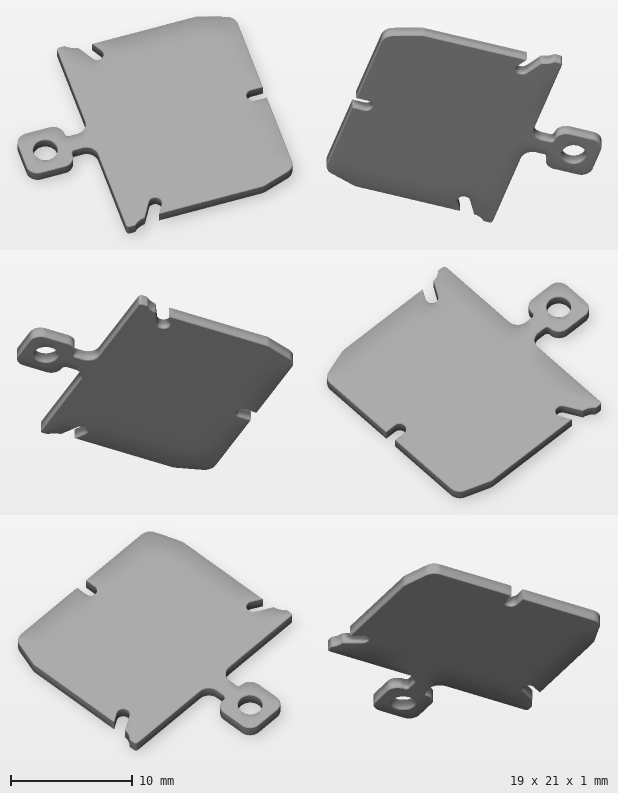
import cadquery as cq

thickness = 1.0
total_length = 21.0
edge_chamfer = 0.05
body_width = 18.0
body_length = 15.0
foot_width = 19.0

corner_radius = 1.0

shoulder_inset = 1.0
shoulder_drop = 3.0

foot_height = 0.71
flare_height = 1.75
flare_radius = 1.5
foot_corner_radius = 0.25

neck_width = 1.51
neck_fillet = 0.32
tab_width = 4.18
tab_length = 4.0
tab_corner_radius = 0.97
hole_diameter = 2.02
hole_edge_distance = 2.0

notch_width = 1.07
top_notch_depth = 1.55
side_notch_angle = 30.0
side_notch_x = 7.85
side_notch_drop = 12.01
side_notch_reach = 3.15

top_y = total_length / 2
bottom_y = -total_length / 2
body_bottom_y = top_y - body_length
tab_top_y = bottom_y + tab_length


def fillet_vertical_edges(solid, points, radius):
    """Round the upright edges standing at the given points, on both sides of X = 0."""
    for x, y in points:
        for side in (-1, 1):
            nearest = cq.selectors.NearestToPointSelector((side * x, y, thickness / 2))
            solid = solid.edges("|Z").edges(nearest).fillet(radius)
    return solid


def make_body():
    """Plate with slanted shoulders and concave flares leading to the feet."""
    half_body = body_width / 2
    half_foot = foot_width / 2
    half_top = half_body - shoulder_inset
    shoulder_y = top_y - shoulder_drop
    flare_y = body_bottom_y + flare_height
    foot_y = body_bottom_y + foot_height
    return (
        cq.Workplane("XY")
        .moveTo(-half_top, top_y)
        .lineTo(half_top, top_y)
        .lineTo(half_body, shoulder_y)
        .lineTo(half_body, flare_y)
        .radiusArc((half_foot, foot_y), -flare_radius)
        .lineTo(half_foot, body_bottom_y)
        .lineTo(-half_foot, body_bottom_y)
        .lineTo(-half_foot, foot_y)
        .radiusArc((-half_body, flare_y), -flare_radius)
        .lineTo(-half_body, shoulder_y)
        .close()
        .extrude(thickness)
    )


def make_block(width, low_y, high_y):
    """Full-thickness block centred on X = 0."""
    length = high_y - low_y
    return (
        cq.Workplane("XY")
        .center(0, low_y + length / 2)
        .rect(width, length)
        .extrude(thickness)
    )


def make_notch(end_x, end_y, angle, reach):
    """Round-ended cutter: its round end is centred at the given point, and it opens along the angle."""
    cutter = (
        cq.Workplane("XY")
        .center(reach / 2, 0)
        .rect(reach, notch_width)
        .extrude(thickness)
        .union(cq.Workplane("XY").circle(notch_width / 2).extrude(thickness))
    )
    return cutter.rotate((0, 0, 0), (0, 0, 1), angle).translate((end_x, end_y, 0))


neck = make_block(neck_width, tab_top_y, body_bottom_y)
tab = make_block(tab_width, bottom_y, tab_top_y)
plate = make_body().union(neck).union(tab)

body_corners = [
    (body_width / 2 - shoulder_inset, top_y),
    (body_width / 2, top_y - shoulder_drop),
    (neck_width / 2, body_bottom_y),
]
tab_corners = [
    (tab_width / 2, tab_top_y),
    (tab_width / 2, bottom_y),
]
plate = fillet_vertical_edges(plate, body_corners, corner_radius)
plate = fillet_vertical_edges(plate, tab_corners, tab_corner_radius)
plate = fillet_vertical_edges(plate, [(neck_width / 2, tab_top_y)], neck_fillet)
plate = fillet_vertical_edges(plate, [(foot_width / 2, body_bottom_y)], foot_corner_radius)

plate = plate.cut(make_notch(0, top_y - top_notch_depth + notch_width / 2, 90, top_notch_depth))
side_notch_y = top_y - side_notch_drop
plate = plate.cut(make_notch(side_notch_x, side_notch_y, -side_notch_angle, side_notch_reach))
plate = plate.cut(make_notch(-side_notch_x, side_notch_y, 180 + side_notch_angle, side_notch_reach))

hole = (
    cq.Workplane("XY")
    .center(0, bottom_y + hole_edge_distance)
    .circle(hole_diameter / 2)
    .extrude(thickness)
)
plate = plate.cut(hole)

result = plate.faces("|Z").edges().chamfer(edge_chamfer)